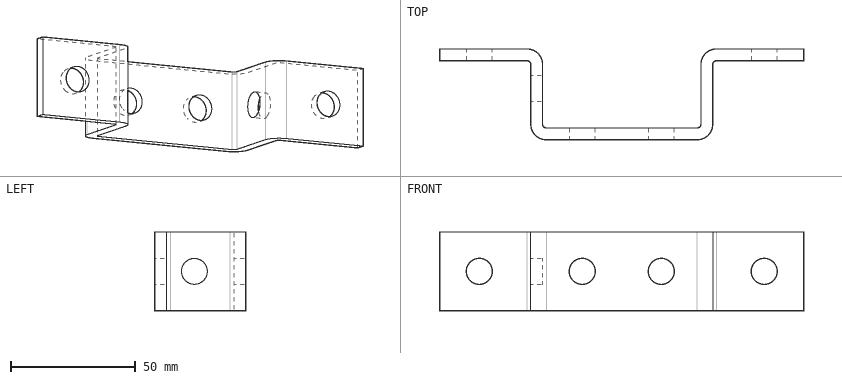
import cadquery as cq

length = 146.0
depth = 36.5
height = 31.7
thickness = 4.8

channel_width = 73.0
inner_radius = 1.5
outer_radius = inner_radius + thickness

hole_diameter = 10.4
flange_hole_spacing = 114.2
base_hole_spacing = 31.7
leg_hole_y = 20.6

half_length = length / 2
half_channel = channel_width / 2
half_inside = half_channel - thickness
flange_y = depth - thickness


def bent_strip():
    """Hat section centred on X, base on Y = 0, with rounded bends."""
    outline = [
        (-half_length, depth),
        (-half_inside, depth),
        (-half_inside, thickness),
        (half_inside, thickness),
        (half_inside, depth),
        (half_length, depth),
        (half_length, flange_y),
        (half_channel, flange_y),
        (half_channel, 0),
        (-half_channel, 0),
        (-half_channel, flange_y),
        (-half_length, flange_y),
    ]
    strip = cq.Workplane("XY").polyline(outline).close().extrude(height)

    outer_bends = [(half_inside, depth), (half_channel, 0)]
    inner_bends = [(half_inside, thickness), (half_channel, flange_y)]
    for bends, radius in ((outer_bends, outer_radius), (inner_bends, inner_radius)):
        for x, y in bends:
            for side in (-1, 1):
                corner = cq.selectors.NearestToPointSelector((side * x, y, height / 2))
                strip = strip.edges("|Z").edges(corner).fillet(radius)
    return strip


def hole_along_y(x, y_start):
    """Cutter through one wall facing Y, at mid-height."""
    return cq.Workplane(
        cq.Plane((x, y_start, height / 2), (1, 0, 0), (0, 1, 0))
    ).circle(hole_diameter / 2).extrude(thickness)


result = bent_strip()

for spacing, wall_y in ((flange_hole_spacing, flange_y), (base_hole_spacing, 0)):
    for side in (-1, 1):
        result = result.cut(hole_along_y(side * spacing / 2, wall_y))

leg_hole = (
    cq.Workplane("YZ", origin=(-half_channel, leg_hole_y, height / 2))
    .circle(hole_diameter / 2)
    .extrude(thickness)
)
result = result.cut(leg_hole)